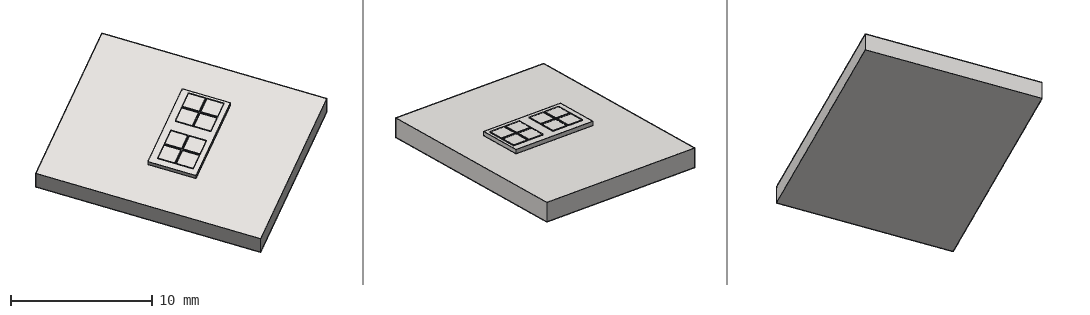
import cadquery as cq

board_length = 17.0
board_width = 13.5
board_height = 1.56

total_height = 2.02
standoff_gap = 0.05
pad_height = 0.07
plate_length = 3.64
plate_width = 7.0
plate_bottom = board_height + standoff_gap
plate_top = total_height - pad_height
plate_height = plate_top - plate_bottom
plate_center_x = 0.51
plate_center_y = 0.22

pad_size = 1.3
pad_gap = 0.1
pad_pitch = pad_size + pad_gap
pad_center_x = 0.6
upper_group_y = 2.15
lower_group_y = -1.45


def make_board():
    return cq.Workplane("XY").box(board_length, board_width, board_height, centered=(True, True, False))


def make_pad_group(center_y):
    return (
        cq.Workplane("XY", origin=(pad_center_x, center_y, plate_top))
        .rarray(pad_pitch, pad_pitch, 2, 2)
        .rect(pad_size, pad_size)
        .extrude(pad_height)
    )


def make_module():
    module = (
        cq.Workplane("XY", origin=(plate_center_x, plate_center_y, plate_bottom))
        .rect(plate_length, plate_width)
        .extrude(plate_height)
    )
    for group_y in (upper_group_y, lower_group_y):
        module = module.union(make_pad_group(group_y))
    return module


board = make_board()
module = make_module()

result = cq.Compound.makeCompound([board.val(), module.solids().val()])